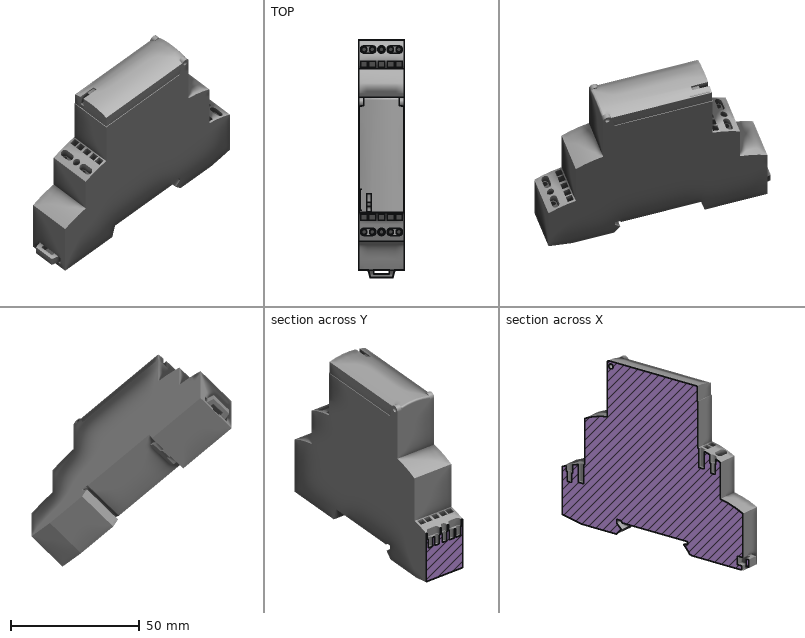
import cadquery as cq
import math


WIDTH = 17.9
OVERALL_LENGTH = 92.8
BODY_LENGTH = 89.9
STEP_RUN = 11.2
BODY_HEIGHT = 65.5
LOWER_Y = BODY_LENGTH / 2
MIDDLE_Y = LOWER_Y - STEP_RUN
UPPER_Y = MIDDLE_Y - STEP_RUN
FRONT_LOWER_Z = 23.9
FRONT_MIDDLE_Z = 42.7
BACK_LOWER_Z = 22.0
BACK_MIDDLE_Z = 44.9
STEP_RISE = 3.4
STEP_BULGE = 0.5
BACK_RAKE_RUN = 9.8
BACK_RAKE_RISE = 1.8

RAIL_TOP_Z = 5.4
RAIL_FRONT_Y = -17.7
RAIL_FRONT_FOOT_Y = -19.2
CLAW_TIP = (15.4, 2.7)
CLAW_FOOT_Y = 18.0
CLAW_ROOT_Y = 17.7
CLAW_ROOT_Z = 4.7
RELIEF_Z = 6.2
RELIEF_FLAT_Y = 16.0
RELIEF_END_Y = 14.9

TOTAL_HEIGHT = 72.0
COVER_INSET = 0.23
COVER_WIDTH = WIDTH - 2 * COVER_INSET
COVER_EDGE_Z = 70.6
COVER_FRONT_Y = -UPPER_Y + COVER_INSET
COVER_BACK_RADIUS = 0.7

EAR_WIDTH = 2.0
EAR_RADIUS = 1.9
EAR_Y = UPPER_Y - EAR_RADIUS
EAR_Z = 69.8
EAR_FOOT_Y = 17.7
HINGE_HOLE_DIAMETER = 1.9

SLOT_X = -4.9
SLOT_WIDTH = 1.8
SLOT_BACK_Y = -15.1
SLOT_TREADS = ((-18.4, 70.8), (-20.0, 69.2), (-22.1, 67.3), (COVER_FRONT_Y, BODY_HEIGHT))
PAD_X = (-8.35, -7.6)
PAD_Y = (-21.5, -13.3)
PAD_Z = (70.1, 70.9)

TERMINAL_XS = (-6.8, -3.6, 0, 3.6, 6.8)
PAIR_X = (TERMINAL_XS[3] + TERMINAL_XS[4]) / 2
PAIR_PITCH = TERMINAL_XS[4] - TERMINAL_XS[3]
SCREW_INSET = 3.7
SCREW_SLOT_DIAMETER = 2.8
SCREW_HOLE_DIAMETER = 2.0
SCREW_SLOT_DEPTH = 1.5
SCREW_HOLE_DEPTH = 5.6
WIRE_INSET = 9.5
WIRE_WIDTH = 2.6
WIRE_LENGTH = 2.5
WIRE_DEPTH = 4.6

LATCH_BOTTOM_Z = 2.0
LATCH_HEIGHT = RAIL_TOP_Z - LATCH_BOTTOM_Z
LATCH_END_Y = LOWER_Y - OVERALL_LENGTH
LATCH_END_WIDTH = 8.8
LATCH_ROOT_WIDTH = 11.8
LATCH_RIM = 1.5
LATCH_WINDOW_WIDTH = 5.9
TUNNEL_WIDTH = 12.7
TUNNEL_DEPTH = 2.8
TUNNEL_CLEARANCE = 0.1
RIB_WIDTH = 3.7
RIB_BOTTOM_Z = 0.3
RIB_SETBACK = 0.5
HOOK_TIP = (-15.2, 4.0)
HOOK_NOTCH_Y = -17.3
HOOK_NOTCH_Z = 4.4
HOOK_HEEL_Y = -17.1
RIB_HEEL_Y = -18.5


def box(x_range, y_range, z_range):
    """Axis-aligned block from its limits."""
    (x0, x1), (y0, y1), (z0, z1) = x_range, y_range, z_range
    return cq.Workplane("XY").box(x1 - x0, y1 - y0, z1 - z0, centered=False).translate((x0, y0, z0))


def centered_on_x(profile, width):
    """Extrude a YZ profile symmetrically about the middle of the width."""
    return profile.extrude(width / 2, both=True)


def arc_middle(start, end, bulge):
    """Point above the middle of the chord from start to end."""
    return ((start[0] + end[0]) / 2, (start[1] + end[1]) / 2 + bulge)


def housing():
    front_low = ((-LOWER_Y, FRONT_LOWER_Z), (-MIDDLE_Y, FRONT_LOWER_Z + STEP_RISE))
    front_mid = ((-MIDDLE_Y, FRONT_MIDDLE_Z), (-UPPER_Y, FRONT_MIDDLE_Z + STEP_RISE))
    back_mid = ((UPPER_Y, BACK_MIDDLE_Z + STEP_RISE), (MIDDLE_Y, BACK_MIDDLE_Z))
    back_low = ((MIDDLE_Y, BACK_LOWER_Z + STEP_RISE), (LOWER_Y, BACK_LOWER_Z))

    outline = cq.Workplane("YZ").moveTo(-LOWER_Y, 0)
    for start, end in (front_low, front_mid):
        outline = outline.lineTo(*start).threePointArc(arc_middle(start, end, STEP_BULGE), end)
    outline = outline.lineTo(-UPPER_Y, BODY_HEIGHT).lineTo(UPPER_Y, BODY_HEIGHT)
    for start, end in (back_mid, back_low):
        outline = outline.lineTo(*start).threePointArc(arc_middle(start, end, STEP_BULGE), end)

    outline = (
        outline.lineTo(LOWER_Y, BACK_RAKE_RISE)
        .lineTo(LOWER_Y - BACK_RAKE_RUN, 0)
        .lineTo(CLAW_FOOT_Y, 0)
        .lineTo(*CLAW_TIP)
        .lineTo(CLAW_ROOT_Y, CLAW_ROOT_Z)
        .lineTo(CLAW_ROOT_Y, RELIEF_Z)
        .lineTo(RELIEF_FLAT_Y, RELIEF_Z)
        .lineTo(RELIEF_END_Y, RAIL_TOP_Z)
        .lineTo(RAIL_FRONT_Y, RAIL_TOP_Z)
        .lineTo(RAIL_FRONT_FOOT_Y, 0)
        .close()
    )
    return centered_on_x(outline, WIDTH)


def cover():
    half = COVER_WIDTH / 2
    lid = (
        cq.Workplane("XZ", origin=(0, UPPER_Y, 0))
        .moveTo(-half, BODY_HEIGHT)
        .lineTo(-half, COVER_EDGE_Z)
        .threePointArc((0, TOTAL_HEIGHT), (half, COVER_EDGE_Z))
        .lineTo(half, BODY_HEIGHT)
        .close()
        .extrude(UPPER_Y - COVER_FRONT_Y)
    )
    return lid.faces(">Y").edges(">Z").fillet(COVER_BACK_RADIUS)


def ear_space(left_x):
    """Room cleared from the cover's back corner around one knuckle."""
    return box((left_x, left_x + EAR_WIDTH), (EAR_Y, UPPER_Y), (EAR_Z, TOTAL_HEIGHT))


def ear(left_x):
    """Knuckle whose straight front flank is tangent to its round top."""
    reach_y = EAR_FOOT_Y - EAR_Y
    reach_z = BODY_HEIGHT - EAR_Z
    reach = math.hypot(reach_y, reach_z)
    tangent_angle = math.atan2(reach_z, reach_y) - math.acos(EAR_RADIUS / reach)
    tangent = (EAR_Y + EAR_RADIUS * math.cos(tangent_angle), EAR_Z + EAR_RADIUS * math.sin(tangent_angle))
    return (
        cq.Workplane("YZ", origin=(left_x, 0, 0))
        .moveTo(EAR_FOOT_Y, BODY_HEIGHT)
        .lineTo(*tangent)
        .threePointArc((EAR_Y, EAR_Z + EAR_RADIUS), (UPPER_Y, EAR_Z))
        .lineTo(UPPER_Y, BODY_HEIGHT)
        .close()
        .extrude(EAR_WIDTH)
    )


def hinge_hole():
    return centered_on_x(cq.Workplane("YZ").center(EAR_Y, EAR_Z).circle(HINGE_HOLE_DIAMETER / 2), WIDTH)


def cover_slot():
    """Slot open at the cover's front, its floor going down in level treads."""
    profile = cq.Workplane("YZ", origin=(SLOT_X, 0, 0)).moveTo(SLOT_BACK_Y, TOTAL_HEIGHT)
    tread_back_y = SLOT_BACK_Y
    for tread_front_y, tread_z in SLOT_TREADS:
        profile = profile.lineTo(tread_back_y, tread_z).lineTo(tread_front_y, tread_z)
        tread_back_y = tread_front_y
    profile = profile.lineTo(COVER_FRONT_Y, TOTAL_HEIGHT).close()
    return centered_on_x(profile, SLOT_WIDTH)


def terminals(outer_y, outer_z):
    """Screw and wire openings sunk vertically into the step with this outer edge."""
    inward = -math.copysign(1, outer_y)
    screw_y = outer_y + inward * SCREW_INSET
    wire_y = outer_y + inward * WIRE_INSET
    top_z = outer_z + STEP_RISE
    slot_floor_z = outer_z - SCREW_SLOT_DEPTH
    hole_floor_z = outer_z - SCREW_HOLE_DEPTH
    wire_floor_z = outer_z - WIRE_DEPTH

    slots = (
        cq.Workplane("XY", origin=(0, screw_y, slot_floor_z))
        .pushPoints([(-PAIR_X, 0), (PAIR_X, 0)])
        .slot2D(PAIR_PITCH + SCREW_SLOT_DIAMETER, SCREW_SLOT_DIAMETER)
        .extrude(top_z - slot_floor_z)
    )
    middle = (
        cq.Workplane("XY", origin=(0, screw_y, slot_floor_z))
        .circle(SCREW_SLOT_DIAMETER / 2)
        .extrude(top_z - slot_floor_z)
    )
    screws = (
        cq.Workplane("XY", origin=(0, screw_y, hole_floor_z))
        .pushPoints([(x, 0) for x in TERMINAL_XS])
        .circle(SCREW_HOLE_DIAMETER / 2)
        .extrude(top_z - hole_floor_z)
    )
    wires = (
        cq.Workplane("XY", origin=(0, wire_y, wire_floor_z))
        .pushPoints([(x, 0) for x in TERMINAL_XS])
        .rect(WIRE_WIDTH, WIRE_LENGTH)
        .extrude(top_z - wire_floor_z)
    )
    return slots.union(middle).union(screws).union(wires)


def latch_tunnel():
    """Front opening for the latch, with a keyway for its rib below."""
    floor_z = LATCH_BOTTOM_Z - TUNNEL_CLEARANCE
    y_range = (-LOWER_Y, -LOWER_Y + TUNNEL_DEPTH)
    opening = box((-TUNNEL_WIDTH / 2, TUNNEL_WIDTH / 2), y_range, (floor_z, RAIL_TOP_Z))
    keyway = box(
        (-RIB_WIDTH / 2, RIB_WIDTH / 2),
        (-LOWER_Y, -LOWER_Y + RIB_SETBACK),
        (RIB_BOTTOM_Z, floor_z),
    )
    return opening.union(keyway)


def latch_pull():
    """Tapered pull tab with a window for a screwdriver."""
    root_y = -LOWER_Y + TUNNEL_DEPTH
    window_y = LATCH_END_Y + LATCH_RIM
    tab = (
        cq.Workplane("XY", origin=(0, 0, LATCH_BOTTOM_Z))
        .moveTo(-LATCH_ROOT_WIDTH / 2, root_y)
        .lineTo(-LATCH_END_WIDTH / 2, LATCH_END_Y)
        .lineTo(LATCH_END_WIDTH / 2, LATCH_END_Y)
        .lineTo(LATCH_ROOT_WIDTH / 2, root_y)
        .close()
        .extrude(LATCH_HEIGHT)
    )
    half_window = LATCH_WINDOW_WIDTH / 2
    return tab.cut(box((-half_window, half_window), (window_y, root_y), (LATCH_BOTTOM_Z, RAIL_TOP_Z)))


def latch_hook():
    """Sprung claw at the front of the rail recess, with a narrow rib beneath it."""
    claw = (
        cq.Workplane("YZ")
        .moveTo(RAIL_FRONT_FOOT_Y, RAIL_TOP_Z)
        .lineTo(HOOK_NOTCH_Y, RAIL_TOP_Z)
        .lineTo(HOOK_NOTCH_Y, HOOK_NOTCH_Z)
        .lineTo(*HOOK_TIP)
        .lineTo(HOOK_HEEL_Y, LATCH_BOTTOM_Z)
        .lineTo(RAIL_FRONT_FOOT_Y, LATCH_BOTTOM_Z)
        .close()
    )
    rib = (
        cq.Workplane("YZ")
        .moveTo(RAIL_FRONT_FOOT_Y, LATCH_BOTTOM_Z)
        .lineTo(HOOK_HEEL_Y, LATCH_BOTTOM_Z)
        .lineTo(RIB_HEEL_Y, RIB_BOTTOM_Z)
        .lineTo(RAIL_FRONT_FOOT_Y, RIB_BOTTOM_Z)
        .close()
    )
    return centered_on_x(claw, LATCH_ROOT_WIDTH).union(centered_on_x(rib, RIB_WIDTH))


EAR_LEFT_XS = (-WIDTH / 2, WIDTH / 2 - EAR_WIDTH)

lid = cover().cut(cover_slot()).union(box(PAD_X, PAD_Y, PAD_Z))
for ear_x in EAR_LEFT_XS:
    lid = lid.cut(ear_space(ear_x)).union(ear(ear_x))

result = housing().union(lid).cut(hinge_hole())
result = result.cut(terminals(-MIDDLE_Y, FRONT_MIDDLE_Z))
result = result.cut(terminals(LOWER_Y, BACK_LOWER_Z))
result = result.cut(latch_tunnel()).union(latch_pull()).union(latch_hook())